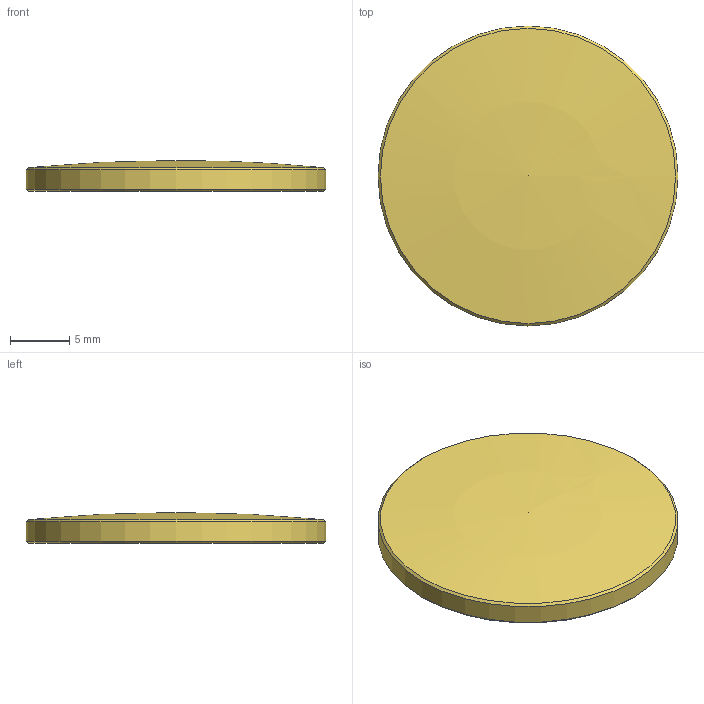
import cadquery as cq
import math

diameter = 25.4
center_thickness = 2.62
bevel = 0.2
dome_sag = 0.6

radius = diameter / 2
rim_radius = radius - bevel
rim_height = center_thickness - dome_sag
sphere_radius = (rim_radius**2 + dome_sag**2) / (2 * dome_sag)

mid_radius = rim_radius / 2
mid_height = center_thickness - sphere_radius + math.sqrt(sphere_radius**2 - mid_radius**2)


def lens():
    """Revolve the half section (radius, height) about the optical axis."""
    half_section = (
        cq.Workplane("XZ")
        .lineTo(rim_radius, 0)
        .lineTo(radius, bevel)
        .lineTo(radius, rim_height - bevel)
        .lineTo(rim_radius, rim_height)
        .threePointArc((mid_radius, mid_height), (0, center_thickness))
        .close()
    )
    return half_section.revolve(360, (0, 0, 0), (0, 1, 0))


result = lens()